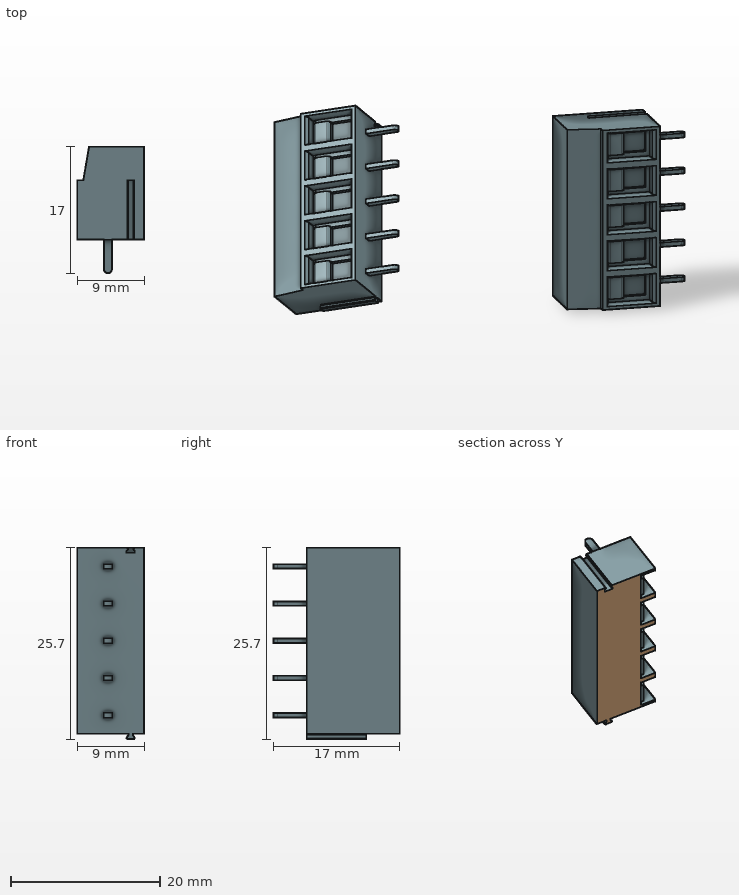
import cadquery as cq

poles = 5
rail_height = 0.7
overall_length = 25.68
body_length = overall_length - rail_height
pitch = body_length / poles
body_depth = 9.0
body_height = 12.5

entry_height = 8.0
step_depth = 0.82
top_setback = 1.6

pin_x = 4.13
pin_width = 1.1
pin_thickness = 0.62
pin_length = 4.5

pocket_width = 4.1
pocket_mouth_low = 0.55
pocket_mouth_high = 7.37
pocket_low = 0.92
pocket_high = 7.15
flare_depth = 0.67
pocket_depth = 2.2

cage_front = 2.03
cage_top = 6.7
window_width = 2.8
window_low = 1.45
window_back = 2.67
window_corner_radius = 0.23

guard_width = 3.0
guard_front = 1.6
guard_low = 4.5
guard_high = 6.88
guard_top_radius = 0.35
guard_bottom_radius = 0.5

dovetail_x = 7.2
rail_neck = 0.62
rail_width = 1.15
rail_neck_height = 0.13
rail_corner = 0.13
groove_mouth = 0.98
groove_neck = 0.7
groove_width = 1.15
groove_depth = 0.7
groove_neck_depth = 0.23
groove_wall = 0.23


def box(x_range, y_range, z_range):
    """Box spanning the given (low, high) ranges."""
    size = [high - low for low, high in (x_range, y_range, z_range)]
    corner = (x_range[0], y_range[0], z_range[0])
    return cq.Workplane("XY").box(*size, centered=False).translate(corner)


def centred(middle, width):
    """Range of the given width about a middle value."""
    return (middle - width / 2, middle + width / 2)


def make_body():
    outline = [
        (0, 0),
        (body_depth, 0),
        (body_depth, body_height),
        (top_setback, body_height),
        (step_depth, entry_height),
        (0, entry_height),
    ]
    return cq.Workplane("XY").polyline(outline).close().extrude(body_length)


def make_pin(z):
    """Flat pin with a full round tip."""
    half = pin_width / 2
    outline = (
        cq.Workplane("XY")
        .workplane(offset=z - pin_thickness / 2)
        .moveTo(pin_x - half, 0)
        .lineTo(pin_x - half, half - pin_length)
        .threePointArc((pin_x, -pin_length), (pin_x + half, half - pin_length))
        .lineTo(pin_x + half, 0)
        .close()
    )
    return outline.extrude(pin_thickness)


def make_pocket(z):
    outline = [
        (0, pocket_mouth_low),
        (flare_depth, pocket_low),
        (pocket_depth, pocket_low),
        (pocket_depth, pocket_high),
        (flare_depth, pocket_high),
        (0, pocket_mouth_high),
    ]
    floor = cq.Workplane("XY").workplane(offset=z - pocket_width / 2)
    return floor.polyline(outline).close().extrude(pocket_width)


def make_cage_wall(z):
    """Front wall of the clamp cage, stopping short of the pocket top to leave a gap."""
    return box((cage_front, window_back), (pocket_low, cage_top), centred(z, pocket_width))


def make_window(z):
    """Wire opening through the cage wall, with rounded lower corners."""
    window = box((cage_front, window_back), (window_low, guard_low), centred(z, window_width))
    return window.edges("|X and <Y").fillet(window_corner_radius)


def make_guard(z):
    guard = box((guard_front, window_back), (guard_low, guard_high), centred(z, guard_width))
    guard = guard.edges("|Z and <X and >Y").fillet(guard_top_radius)
    return guard.edges("|Z and <X and <Y").fillet(guard_bottom_radius)


def dovetail(half_outline):
    """Prism along the entry height, mirrored about the dovetail axis."""
    right = [(dovetail_x + x, z) for x, z in half_outline]
    left = [(dovetail_x - x, z) for x, z in reversed(half_outline)]
    return cq.Workplane("XZ").polyline(right + left).close().extrude(-entry_height)


def make_rail():
    return dovetail([
        (rail_neck / 2, 0),
        (rail_neck / 2, -rail_neck_height),
        (rail_width / 2, rail_corner - rail_height),
        (rail_width / 2 - rail_corner, -rail_height),
    ])


def make_groove():
    top = body_length
    return dovetail([
        (groove_mouth / 2, top),
        (groove_neck / 2, top - groove_neck_depth),
        (groove_width / 2, top - groove_depth + groove_wall),
        (groove_width / 2, top - groove_depth),
    ])


result = make_body().cut(make_groove()).union(make_rail())
for pole in range(poles):
    pole_z = (pole + 0.5) * pitch
    result = result.cut(make_pocket(pole_z)).union(make_cage_wall(pole_z))
    result = result.cut(make_window(pole_z)).union(make_guard(pole_z))
    result = result.union(make_pin(pole_z))